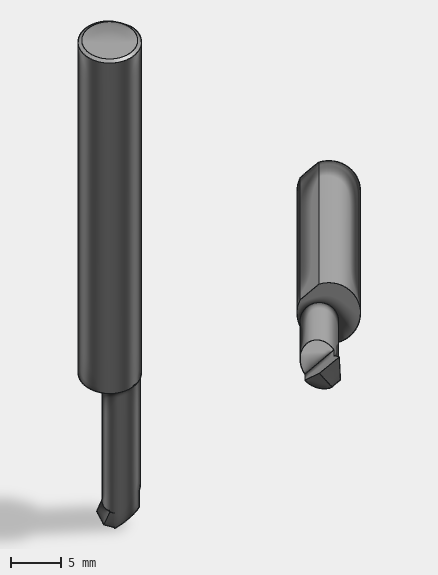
import cadquery as cq
import math


shank_diameter = 6.35
shank_length = 44.45
shank_flat_depth = 0.25
end_chamfer_inset = 0.38
end_chamfer_height = 0.22
overall_length = 63.49
neck_diameter = 3.86

rake_flat_length = 4.2
runout_angle = 40.0

tip_height = 2.2
tip_reach = 0.72
tip_back_top_inset = 1.45
tip_side_lean = 0.65
bottom_rise = 0.13
back_bottom_rise = 0.28

shank_radius = shank_diameter / 2
neck_radius = neck_diameter / 2
neck_length = overall_length - shank_length
neck_x = shank_radius - neck_radius
neck_left_x = neck_x - neck_radius


def make_shank():
    """Chamfered round shank with a flat along its +Y side."""
    profile = (
        cq.Workplane("XZ")
        .moveTo(0, neck_length)
        .lineTo(shank_radius, neck_length)
        .lineTo(shank_radius, overall_length - end_chamfer_height)
        .lineTo(shank_radius - end_chamfer_inset, overall_length)
        .lineTo(0, overall_length)
        .close()
    )
    shank = profile.revolve(360, (0, 0, 0), (0, 1, 0))
    flat_cutter = (
        cq.Workplane("XY")
        .workplane(offset=neck_length)
        .center(0, shank_radius - shank_flat_depth + shank_radius)
        .rect(shank_diameter, shank_diameter)
        .extrude(shank_length)
    )
    return shank.cut(flat_cutter)


def make_neck():
    """Offset round neck, cut to a half round at the bottom and bevelled on its +X side."""
    neck = cq.Workplane("XY").center(neck_x, 0).circle(neck_radius).extrude(neck_length)

    runout_rise = neck_diameter * math.tan(math.radians(runout_angle))
    rake_cutter = (
        cq.Workplane("YZ")
        .polyline([
            (0, 0),
            (0, rake_flat_length),
            (neck_diameter, rake_flat_length + runout_rise),
            (neck_diameter, 0),
        ])
        .close()
        .extrude(shank_diameter, both=True)
    )

    lower_cutter = (
        cq.Workplane("XZ")
        .polyline([
            (neck_left_x - neck_radius, 0),
            (neck_left_x - neck_radius, tip_height),
            (neck_x, tip_height),
            (neck_x, bottom_rise),
            (neck_x + neck_diameter, bottom_rise + neck_diameter),
            (neck_x + neck_diameter, 0),
        ])
        .close()
        .extrude(neck_diameter, both=True)
    )
    return neck.cut(rake_cutter).cut(lower_cutter)


def make_tip():
    """Cutting tip tapering from the rake face at Y = 0 to a narrower face at the back."""
    back_top_x = neck_left_x + tip_back_top_inset
    rake_outline = [
        (neck_left_x, tip_height),
        (neck_left_x - tip_reach, 0),
        (neck_x, bottom_rise),
        (neck_x, tip_height),
    ]
    back_outline = [
        (back_top_x, tip_height),
        (back_top_x - tip_side_lean, back_bottom_rise),
        (neck_x, back_bottom_rise),
        (neck_x, tip_height),
    ]
    return (
        cq.Workplane("XZ")
        .polyline(rake_outline)
        .close()
        .workplane(offset=neck_radius)
        .polyline(back_outline)
        .close()
        .loft(ruled=True)
    )


result = make_shank().union(make_neck()).union(make_tip())